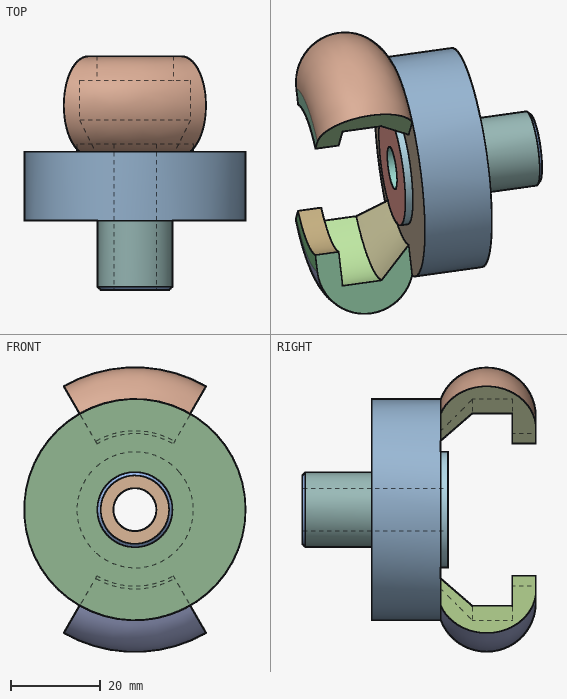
import cadquery as cq
import math

overall_diameter = 63.4
overall_depth = 52.0
disk_diameter = 49.3
disk_thickness = 15.35
stub_diameter = 16.7
stub_length = 15.45
stub_chamfer = 0.75
bore_diameter = 9.5
pad_diameter = 25.85
pad_height = 1.7

claw_sweep = 60.0
claw_round_radius = 10.95
claw_tip_radius = 17.0
claw_tip_thickness = 5.3
claw_root_radius = 17.6

disk_radius = disk_diameter / 2
claw_back = overall_depth - stub_length
round_center_r = overall_diameter / 2 - claw_round_radius
round_center_y = claw_back - claw_round_radius


def cylinder(diameter, start_y, length):
    """Solid cylinder on the Y axis, extending toward +Y from start_y."""
    plane = cq.Plane(origin=(0, start_y, 0), xDir=(1, 0, 0), normal=(0, 1, 0))
    return cq.Workplane(plane).circle(diameter / 2).extrude(length)


def upper_claw():
    """Claw centred on +Z, with a rounded outside and a hooked tip."""
    pocket_r = disk_radius
    pocket_back = claw_back - claw_tip_thickness
    slope_start = disk_thickness + pocket_r - claw_root_radius
    root_drop = round_center_y - disk_thickness
    root_outer_r = round_center_r + math.sqrt(claw_round_radius**2 - root_drop**2)
    root_depth = disk_thickness / 2
    section = (
        cq.Workplane("XY")
        .moveTo(claw_root_radius, root_depth)
        .lineTo(claw_root_radius, disk_thickness)
        .lineTo(pocket_r, slope_start)
        .lineTo(pocket_r, pocket_back)
        .lineTo(claw_tip_radius, pocket_back)
        .lineTo(claw_tip_radius, claw_back)
        .lineTo(round_center_r, claw_back)
        .threePointArc((overall_diameter / 2, round_center_y), (root_outer_r, disk_thickness))
        .lineTo(root_outer_r, root_depth)
        .close()
    )
    claw = section.revolve(claw_sweep, (0, 0, 0), (0, 1, 0))
    return claw.rotate((0, 0, 0), (0, 1, 0), -90 - claw_sweep / 2)


disk = cylinder(disk_diameter, 0, disk_thickness)
stub = cylinder(stub_diameter, -stub_length, stub_length).faces("<Y").chamfer(stub_chamfer)
pad = cylinder(pad_diameter, disk_thickness, pad_height)
bore = cylinder(bore_diameter, -stub_length, stub_length + disk_thickness + pad_height)

body = disk.union(stub).union(pad)
for turn in (0, 180):
    body = body.union(upper_claw().rotate((0, 0, 0), (0, 1, 0), turn))

result = body.cut(bore)